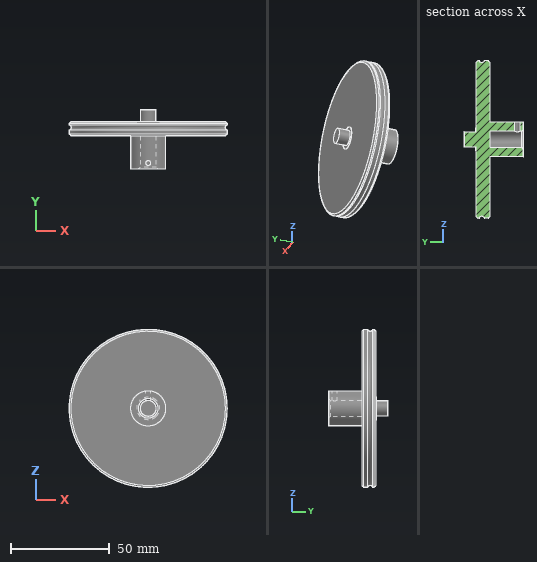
import cadquery as cq

disc_diameter = 80.0
disc_width = 7.2
rim_chamfer = 1.0
hub_diameter = 17.8
hub_length = 16.8
collar_diameter = 11.5
collar_height = 0.2
pin_diameter = 7.8
pin_length = 6.0

groove_width = 2.5
groove_depth = 1.0
groove_offset = 4.2

bore_diameter = 8.0
bore_chamfer = 1.0
bore_depth = hub_length
screw_diameter = 2.5
screw_inset = 3.0

hub_end = -hub_length
disc_radius = disc_diameter / 2
hub_radius = hub_diameter / 2
collar_end = disc_width + collar_height
pin_end = disc_width + pin_length


def make_body():
    """Revolve the stepped half profile of hub, grooved disc, collar and pin."""
    face_radius = disc_radius - rim_chamfer
    groove_start = groove_offset - groove_width / 2
    groove_end = groove_offset + groove_width / 2
    profile = (
        cq.Workplane("XY")
        .moveTo(0, hub_end)
        .lineTo(hub_radius, hub_end)
        .lineTo(hub_radius, 0)
        .lineTo(face_radius, 0)
        .lineTo(disc_radius, rim_chamfer)
        .lineTo(disc_radius, groove_start)
        .threePointArc((disc_radius - groove_depth, groove_offset), (disc_radius, groove_end))
        .lineTo(disc_radius, disc_width - rim_chamfer)
        .lineTo(face_radius, disc_width)
        .lineTo(collar_diameter / 2, disc_width)
        .lineTo(collar_diameter / 2, collar_end)
        .lineTo(pin_diameter / 2, collar_end)
        .lineTo(pin_diameter / 2, pin_end)
        .lineTo(0, pin_end)
        .close()
    )
    return profile.revolve(360, (0, 0, 0), (0, 1, 0))


def make_bore():
    """Blind bore with a chamfered mouth at the free end of the hub."""
    bore_radius = bore_diameter / 2
    bore_end = hub_end + bore_depth
    profile = (
        cq.Workplane("XY")
        .moveTo(0, hub_end)
        .lineTo(bore_radius + bore_chamfer, hub_end)
        .lineTo(bore_radius, hub_end + bore_chamfer)
        .lineTo(bore_radius, bore_end)
        .lineTo(0, bore_end)
        .close()
    )
    return profile.revolve(360, (0, 0, 0), (0, 1, 0))


def make_screw_hole():
    """Radial hole from the bore out through the +Z side of the hub."""
    return (
        cq.Workplane("XY")
        .center(0, hub_end + screw_inset)
        .circle(screw_diameter / 2)
        .extrude(hub_radius)
    )


result = make_body().cut(make_bore()).cut(make_screw_hole())